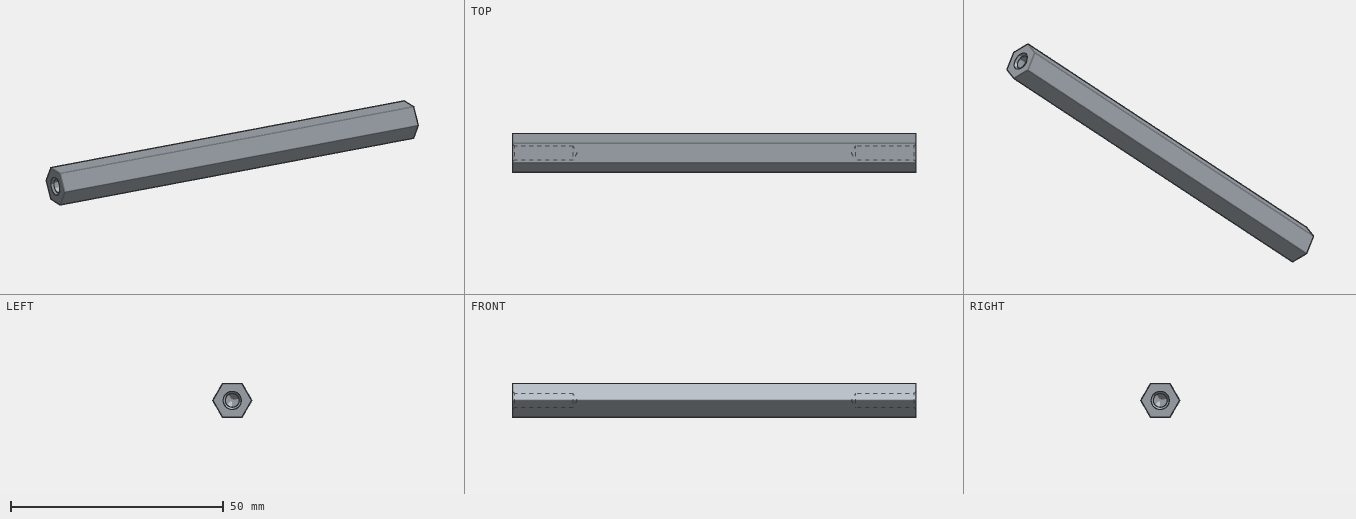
import cadquery as cq
import math

length = 95.0
across_flats = 8.0
hole_diameter = 3.2
countersink_diameter = 4.3
hole_depth = 14.25
countersink_angle = 90.0
drill_tip_angle = 118.0
edge_radius = 0.1

across_corners = across_flats / math.cos(math.pi / 6)
hole_radius = hole_diameter / 2
countersink_radius = countersink_diameter / 2
countersink_depth = (countersink_radius - hole_radius) / math.tan(math.radians(countersink_angle / 2))
tip_depth = hole_radius / math.tan(math.radians(drill_tip_angle / 2))


def hexagonal_bar():
    """Bar centred on the origin, with flats facing up and down."""
    return (
        cq.Workplane("YZ")
        .polygon(6, across_corners)
        .extrude(length / 2, both=True)
    )


def drilled_hole():
    """Revolved hole volume entering the -X end, with a conical bottom."""
    mouth = -length / 2
    return (
        cq.Workplane("XY")
        .moveTo(mouth, 0)
        .lineTo(mouth, countersink_radius)
        .lineTo(mouth + countersink_depth, hole_radius)
        .lineTo(mouth + hole_depth, hole_radius)
        .lineTo(mouth + hole_depth + tip_depth, 0)
        .close()
        .revolve(360, (0, 0, 0), (1, 0, 0))
    )


hole = drilled_hole()
bar = hexagonal_bar().edges().fillet(edge_radius)
result = bar.cut(hole).cut(hole.mirror("YZ"))